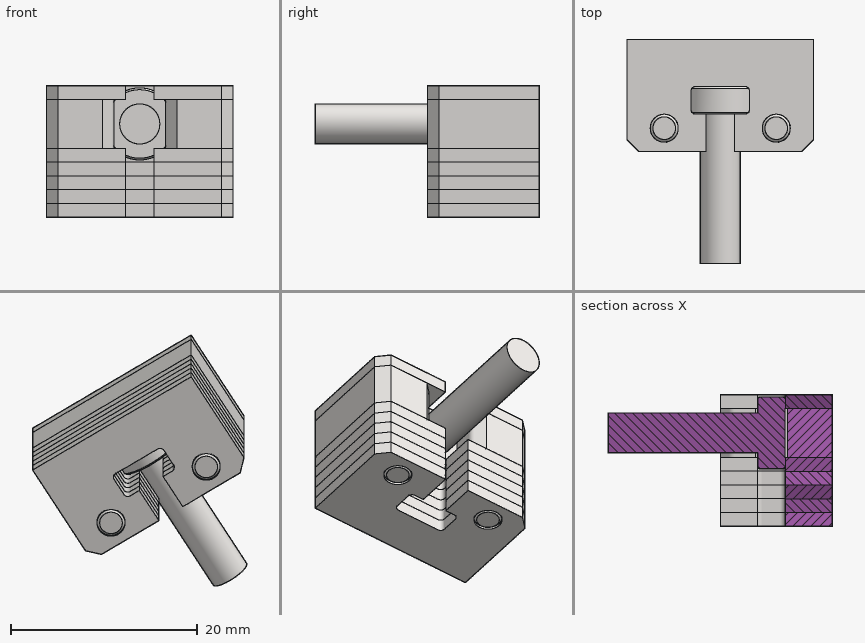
import cadquery as cq

BLOCK_WIDTH = 20.0
BLOCK_DEPTH = 12.0
BLOCK_HEIGHT = 14.1
CORNER_CHAMFER = 1.25

SPACER_HEIGHT = 5.23
PLATES_BELOW = 5
PLATES_ABOVE = 1
PLATE_HEIGHT = (BLOCK_HEIGHT - SPACER_HEIGHT) / (PLATES_BELOW + PLATES_ABOVE)
SPACER_BOTTOM = PLATES_BELOW * PLATE_HEIGHT
SPACER_TOP = SPACER_BOTTOM + SPACER_HEIGHT

SLOT_WIDTH = 3.0
SLOT_LENGTH = 4.0
POCKET_WIDTH = 6.26
POCKET_FILLET = 0.5

BOLT_REACH = 12.0
SHANK_DIAMETER = 4.3
HEAD_DIAMETER = 7.73
HEAD_LENGTH = 2.95
HEAD_CHAMFER = 0.2
BOLT_Z = SPACER_BOTTOM + SPACER_HEIGHT / 2
HEAD_BACK = SLOT_LENGTH + HEAD_LENGTH

MOUTH_WIDTH = 7.95
NECK_WIDTH = 5.57
NECK_FILLET = 0.8
CHAMBER_WIDTH = 7.95
CHAMBER_CLEARANCE = 0.25
CHAMBER_FRONT = SLOT_LENGTH - CHAMBER_CLEARANCE
CHAMBER_BACK = HEAD_BACK + CHAMBER_CLEARANCE

PIN_DIAMETER = 3.0
PIN_CHAMFER = 0.3
PIN_X = 6.0
PIN_Y = 2.5


def block_layer(bottom, height):
    """Rectangular layer with chamfered front corners and the two pin holes."""
    return (
        cq.Workplane("XY")
        .workplane(offset=bottom)
        .rect(BLOCK_WIDTH, BLOCK_DEPTH)
        .extrude(height)
        .edges("|Z and <Y")
        .chamfer(CORNER_CHAMFER)
        .translate((0, BLOCK_DEPTH / 2, 0))
        .faces(">Z")
        .workplane(origin=(0, 0, 0))
        .pushPoints([(-PIN_X, PIN_Y), (PIN_X, PIN_Y)])
        .hole(PIN_DIAMETER)
    )


def upright_box(width, front, back, bottom, height):
    """Box centred on x = 0 that spans y from front to back."""
    return (
        cq.Workplane("XY")
        .box(width, back - front, height, centered=(True, False, False))
        .translate((0, front, bottom))
    )


def make_plate(bottom):
    """Thin plate with its T-shaped cutout."""
    slot = upright_box(SLOT_WIDTH, 0, SLOT_LENGTH, bottom, PLATE_HEIGHT)
    pocket = upright_box(POCKET_WIDTH, SLOT_LENGTH, HEAD_BACK, bottom, PLATE_HEIGHT)
    pocket = pocket.edges("|Z").fillet(POCKET_FILLET)
    return block_layer(bottom, PLATE_HEIGHT).cut(slot).cut(pocket)


def make_spacer():
    """Thick layer with the flared bolt passage and the head chamber."""
    flare = (MOUTH_WIDTH - NECK_WIDTH) / 2
    passage = (
        cq.Workplane("XY")
        .workplane(offset=SPACER_BOTTOM)
        .moveTo(-MOUTH_WIDTH / 2, 0)
        .lineTo(-NECK_WIDTH / 2, flare)
        .lineTo(-NECK_WIDTH / 2, CHAMBER_FRONT)
        .lineTo(NECK_WIDTH / 2, CHAMBER_FRONT)
        .lineTo(NECK_WIDTH / 2, flare)
        .lineTo(MOUTH_WIDTH / 2, 0)
        .close()
        .extrude(SPACER_HEIGHT)
    )
    neck_corners = cq.selectors.BoxSelector(
        (-MOUTH_WIDTH, flare / 2, 0), (MOUTH_WIDTH, CHAMBER_FRONT / 2, BLOCK_HEIGHT)
    )
    passage = passage.edges("|Z").edges(neck_corners).fillet(NECK_FILLET)
    chamber = upright_box(CHAMBER_WIDTH, CHAMBER_FRONT, CHAMBER_BACK, SPACER_BOTTOM, SPACER_HEIGHT)
    return block_layer(SPACER_BOTTOM, SPACER_HEIGHT).cut(passage).cut(chamber)


def make_bolt():
    """Bolt with a chamfered round head, shank pointing along -Y."""
    head = (
        cq.Workplane("XZ", origin=(0, HEAD_BACK, BOLT_Z))
        .circle(HEAD_DIAMETER / 2)
        .extrude(HEAD_LENGTH)
        .edges()
        .chamfer(HEAD_CHAMFER)
    )
    shank = (
        cq.Workplane("XZ", origin=(0, SLOT_LENGTH, BOLT_Z))
        .circle(SHANK_DIAMETER / 2)
        .extrude(SLOT_LENGTH + BOLT_REACH)
    )
    return head.union(shank)


def make_pin(x):
    """Dowel pin as long as the stack is high, chamfered at both ends."""
    return (
        cq.Workplane("XY", origin=(x, PIN_Y, 0))
        .circle(PIN_DIAMETER / 2)
        .extrude(BLOCK_HEIGHT)
        .faces("<Z or >Z")
        .edges()
        .chamfer(PIN_CHAMFER)
    )


lower_bottoms = [i * PLATE_HEIGHT for i in range(PLATES_BELOW)]
upper_bottoms = [SPACER_TOP + i * PLATE_HEIGHT for i in range(PLATES_ABOVE)]
plates = [make_plate(bottom) for bottom in lower_bottoms + upper_bottoms]
spacer = make_spacer()
bolt = make_bolt()
pins = [make_pin(x) for x in (-PIN_X, PIN_X)]

result = cq.Compound.makeCompound(
    [
        *[plate.val() for plate in plates],
        spacer.val(),
        bolt.val(),
        *[pin.val() for pin in pins],
    ]
)